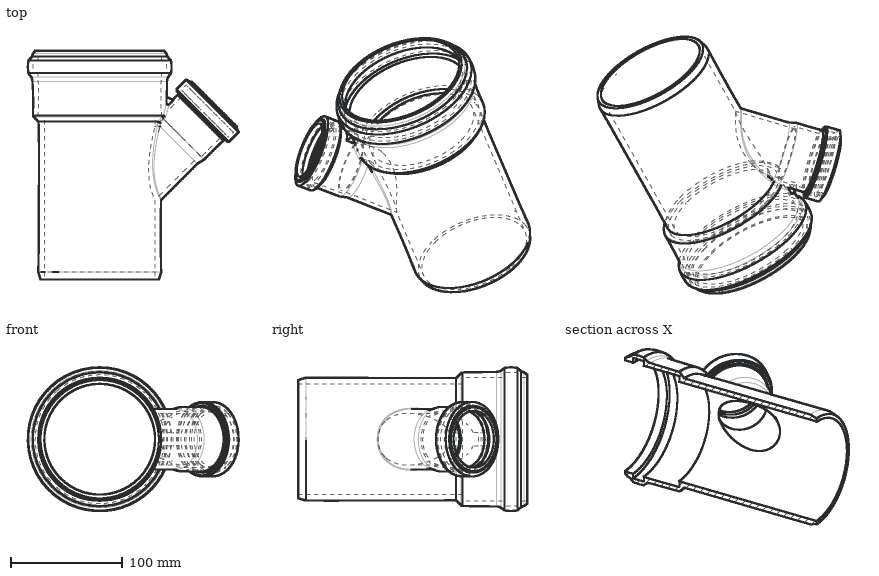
import cadquery as cq
import math

total_length = 206.19
main_bore_radius = 99.5 / 2
spigot_radius = 110.9 / 2
pipe_top_radius = 110.3 / 2
spigot_tip_radius = 53.3
spigot_chamfer_length = 6.8

socket_mouth_radius = 58.1
socket_shoulder_depth = 64.0
socket_base_depth = 58.4
socket_base_bevel_depth = 59.6
socket_base_bevel_radius = 59.6
socket_base_radius = 120.5 / 2
socket_neck_depth = 27.8
socket_neck_radius = 121.4 / 2
bulge_radius = 129.68 / 2
bulge_edge_radius = 64.3
bulge_bottom_depth = 20.3
bulge_top_depth = 9.0
bulge_foot_depth = 23.8
bulge_foot_radius = 61.8
collar_depth = 5.5
collar_radius = 61.2
mouth_chamfer_depth = 2.75
mouth_chamfer_radius = 60.2

socket_inner_base_radius = 111.0 / 2
socket_inner_mouth_radius = 111.3 / 2
seal_groove_radius = 120.5 / 2

branch_angle = 45
overall_x = 190.03
branch_origin_y = 55.0
branch_bore_radius = 46.6 / 2
branch_pipe_radius = 54.6 / 2
branch_socket_base_radius = 58.0 / 2
branch_socket_neck_radius = 58.4 / 2
branch_lip_radius = 67.1 / 2
branch_taper_start = 97.0
branch_taper_end = 104.0
lip_front = (overall_x - bulge_radius) * math.sqrt(2) - branch_lip_radius
lip_width = 13.3
lip_back = lip_front - lip_width
lip_edge_bevel = 0.8
lip_edge_bevel_radius = 32.5
lip_root_radius = 60.3 / 2
lip_root_length = 1.8
branch_rim_height = 1.0
branch_rim_radius = 60.3 / 2
branch_mouth_height = 2.2
branch_mouth_radius = 28.8
branch_socket_inner_base_radius = 50.8 / 2
branch_socket_inner_mouth_radius = 51.2 / 2
branch_groove_radius = 60.3 / 2
branch_groove_clearance = 3.5

junction_fillet = 1.5

rib_thickness = 12.0
rib_top_y = 164.4
rib_inner_x = 58.0
rib_outer_x = 66.5
rib_outer_y = 161.9
rib_bottom_y = 150.0


def revolved(profile):
    """Turn a closed (radius, axial position) wire about the Y axis."""
    return profile.close().revolve(360, (0, 0, 0), (0, 1, 0))


def on_branch(body):
    """Move a body built along Y onto the branch axis."""
    return body.rotate((0, 0, 0), (0, 0, 1), -branch_angle).translate((0, branch_origin_y, 0))


def main_outside():
    """Pipe and socket, from the chamfered spigot to the socket mouth."""

    def below_mouth(radius, depth):
        return (radius, total_length - depth)

    bulge_middle_depth = (bulge_bottom_depth + bulge_top_depth) / 2
    profile = (
        cq.Workplane("ZY")
        .lineTo(spigot_tip_radius, 0)
        .lineTo(spigot_radius, spigot_chamfer_length)
        .lineTo(*below_mouth(pipe_top_radius, socket_shoulder_depth))
        .lineTo(*below_mouth(socket_base_bevel_radius, socket_base_bevel_depth))
        .lineTo(*below_mouth(socket_base_radius, socket_base_depth))
        .lineTo(*below_mouth(socket_neck_radius, socket_neck_depth))
        .tangentArcPoint(below_mouth(bulge_foot_radius, bulge_foot_depth), relative=False)
        .lineTo(*below_mouth(bulge_edge_radius, bulge_bottom_depth))
        .threePointArc(
            below_mouth(bulge_radius, bulge_middle_depth),
            below_mouth(bulge_edge_radius, bulge_top_depth),
        )
        .lineTo(*below_mouth(collar_radius, collar_depth))
        .lineTo(*below_mouth(mouth_chamfer_radius, mouth_chamfer_depth))
        .lineTo(*below_mouth(socket_mouth_radius, 0))
        .lineTo(0, total_length)
    )
    return revolved(profile)


def main_inside():
    """Bore, socket and seal groove of the main pipe."""
    socket_floor = total_length - socket_base_depth
    groove_bottom = total_length - bulge_bottom_depth
    groove_top = total_length - bulge_top_depth
    profile = (
        cq.Workplane("ZY")
        .lineTo(main_bore_radius, 0)
        .lineTo(main_bore_radius, socket_floor)
        .lineTo(socket_inner_base_radius, socket_floor)
        .lineTo(socket_inner_mouth_radius, groove_bottom)
        .lineTo(seal_groove_radius, groove_bottom)
        .lineTo(seal_groove_radius, groove_top)
        .lineTo(socket_inner_mouth_radius, groove_top)
        .lineTo(socket_inner_mouth_radius, total_length)
        .lineTo(0, total_length)
    )
    return revolved(profile)


def branch_outside():
    """Branch pipe, its taper, socket and lip."""
    mouth = lip_front + branch_mouth_height
    profile = (
        cq.Workplane("ZY")
        .lineTo(branch_pipe_radius, 0)
        .lineTo(branch_pipe_radius, branch_taper_start)
        .lineTo(branch_socket_base_radius, branch_taper_end)
        .lineTo(branch_socket_neck_radius, lip_back - lip_root_length)
        .lineTo(lip_root_radius, lip_back)
        .lineTo(lip_edge_bevel_radius, lip_back)
        .lineTo(branch_lip_radius, lip_back + lip_edge_bevel)
        .lineTo(branch_lip_radius, lip_front)
        .lineTo(branch_rim_radius, lip_front + branch_rim_height)
        .lineTo(branch_mouth_radius, mouth)
        .lineTo(0, mouth)
    )
    return on_branch(revolved(profile))


def branch_inside():
    """Bore, socket and seal groove of the branch."""
    mouth = lip_front + branch_mouth_height
    groove_bottom = lip_back + branch_groove_clearance
    groove_top = lip_front - branch_groove_clearance
    profile = (
        cq.Workplane("ZY")
        .lineTo(branch_bore_radius, 0)
        .lineTo(branch_bore_radius, branch_taper_end)
        .lineTo(branch_socket_inner_base_radius, branch_taper_end)
        .lineTo(branch_socket_inner_mouth_radius, groove_bottom)
        .lineTo(branch_groove_radius, groove_bottom)
        .lineTo(branch_groove_radius, groove_top)
        .lineTo(branch_socket_inner_mouth_radius, groove_top)
        .lineTo(branch_socket_inner_mouth_radius, mouth)
        .lineTo(0, mouth)
    )
    return on_branch(revolved(profile))


def filleted_junction(body):
    """Round the seam where the branch meets the main pipe and socket."""
    seam = [
        edge
        for edge in body.edges().vals()
        if edge.geomType() == "BSPLINE" and edge.Center().x > 0
    ]
    return body.newObject(seam).fillet(junction_fillet)


def corner_rib():
    """Flat rib whose inner part is buried in the socket wall and the branch wall."""
    return (
        cq.Workplane("XY")
        .moveTo(rib_inner_x, rib_bottom_y)
        .lineTo(rib_inner_x, rib_top_y)
        .lineTo(socket_base_radius, rib_top_y)
        .lineTo(rib_outer_x, rib_outer_y)
        .lineTo(rib_outer_x, rib_bottom_y)
        .close()
        .extrude(rib_thickness / 2, both=True)
    )


outside = filleted_junction(main_outside().union(branch_outside())).union(corner_rib())
result = outside.cut(main_inside()).cut(branch_inside())